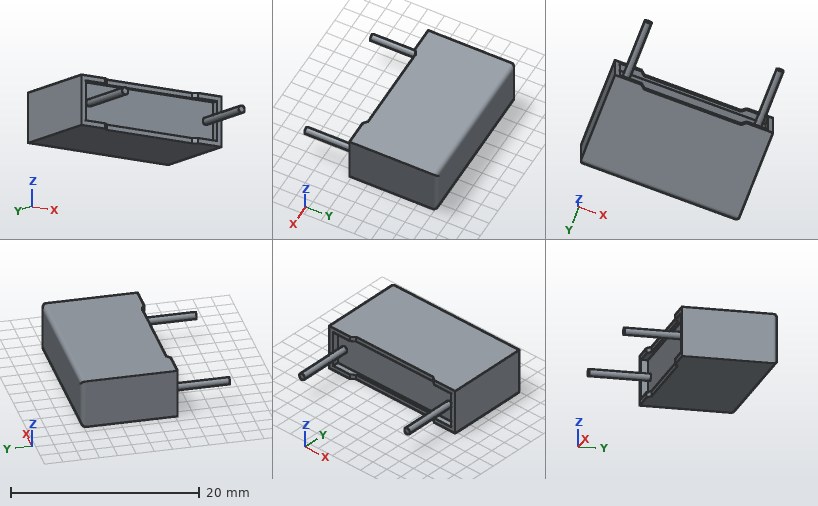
import cadquery as cq

WIDTH = 18.0
DEPTH = 10.51
HEIGHT = 5.5
WALL = 0.58
BACK_FILLET = 0.5

RELIEF_DEPTH = 0.4
RELIEF_INSET = 3.0
RELIEF_SLOPE_RUN = 0.5

FILL_RECESS = 0.75

LEAD_DIAMETER = 0.8
LEAD_PITCH = 15.0
LEAD_REACH = 6.0

CAVITY_WIDTH = WIDTH - 2 * WALL
CAVITY_HEIGHT = HEIGHT - 2 * WALL
CAVITY_BACK = DEPTH - WALL


def block_along_y(width, height, y_start, y_end):
    """Box centred on the Y axis between two Y positions."""
    return (
        cq.Workplane("XY")
        .box(width, y_end - y_start, height, centered=(True, False, True))
        .translate((0, y_start, 0))
    )


def make_lip_relief():
    """Trapezoidal cutter that passes through both lips of the mouth."""
    half_mouth = WIDTH / 2 - RELIEF_INSET
    half_floor = half_mouth - RELIEF_SLOPE_RUN
    outline = [
        (-half_mouth, 0),
        (half_mouth, 0),
        (half_floor, RELIEF_DEPTH),
        (-half_floor, RELIEF_DEPTH),
    ]
    return cq.Workplane("XY").polyline(outline).close().extrude(HEIGHT / 2, both=True)


def make_housing():
    shell = block_along_y(WIDTH, HEIGHT, 0, DEPTH)
    shell = shell.faces(">Y").edges().fillet(BACK_FILLET)
    cavity = block_along_y(CAVITY_WIDTH, CAVITY_HEIGHT, 0, CAVITY_BACK)
    return shell.cut(cavity).cut(make_lip_relief())


def make_filling():
    return block_along_y(CAVITY_WIDTH, CAVITY_HEIGHT, FILL_RECESS, CAVITY_BACK)


def make_lead(x):
    """Round wire from the filling's front face to its tip at negative Y."""
    return (
        cq.Workplane("XZ", origin=(x, FILL_RECESS, 0))
        .circle(LEAD_DIAMETER / 2)
        .extrude(FILL_RECESS + LEAD_REACH)
    )


housing = make_housing()
filling = make_filling()
leads = [make_lead(side * LEAD_PITCH / 2) for side in (-1, 1)]

result = cq.Compound.makeCompound(
    [housing.val(), filling.val(), *[lead.val() for lead in leads]]
)